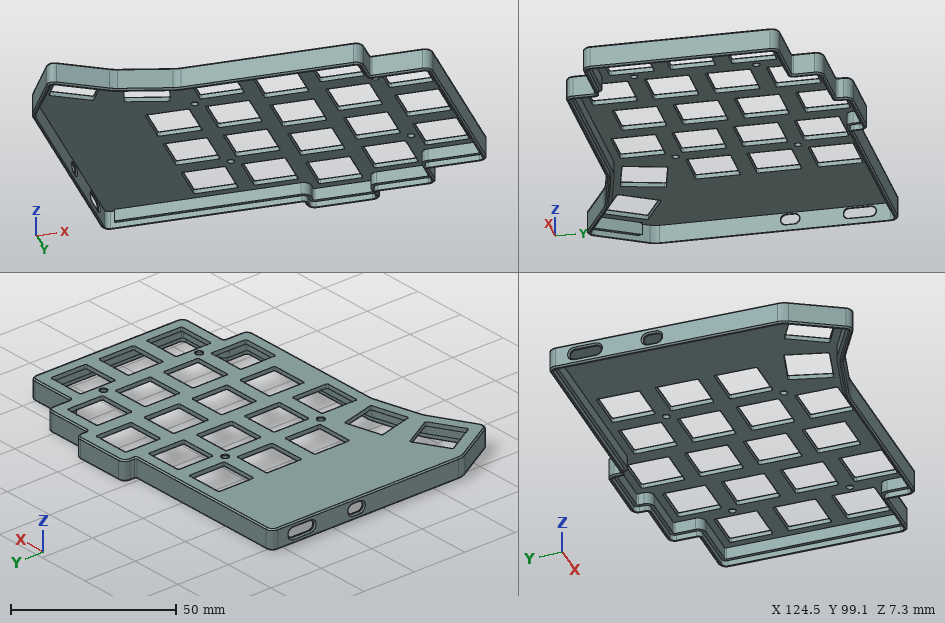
import cadquery as cq
import math

length = 124.5
height = 7.3
plate_thickness = 1.5
wall = 2.0
thin_wall = 1.0
rim_depth = 1.9
edge_chamfer = 0.5

key_span = 76.1
pitch = key_span / 4
key_opening = 14.0
key_corner_radius = 0.5
key_margin = 11.5

corner_radius = 2.5
inner_corner_radius = 0.5
bend_radius = 9.3
side_bend_radius = 6.5

column_x = [length - key_margin - pitch * steps for steps in (4, 3, 2, 1, 0)]
column_first_y = [
    key_margin + pitch,
    key_margin,
    key_margin + pitch / 4,
    key_margin,
    key_margin + pitch / 2,
]
column_key_count = [3, 4, 4, 4, 3]

inner_thumb = (35.0, 8.6)
inner_thumb_angle = 15.0
outer_thumb = (15.2, 0.5)
outer_thumb_angle = 30.0

screw_hole_diameter = 2.2
screw_hole_chamfer = 0.2
screw_hole_x = [column_x[0] + pitch / 2, column_x[3] + pitch / 2]
screw_hole_y = [column_first_y[1] + pitch / 2, column_first_y[1] + 5 * pitch / 2]

port_height = 3.5
port_chamfer = 0.5
port_z = height / 2
usb_port_y = 67.9
usb_port_width = 10.2
jack_port_y = 46.2
jack_port_width = 6.0


def beside_key(centre, angle, along, across):
    """Point at an offset from a turned key, measured in the directions of its sides."""
    turn = math.radians(angle)
    return (
        centre[0] + along * math.cos(turn) - across * math.sin(turn),
        centre[1] + along * math.sin(turn) + across * math.cos(turn),
    )


def crossing(point_a, angle_a, point_b, angle_b):
    """Crossing of two lines, each given by a point and a direction angle."""
    ax, ay = math.cos(math.radians(angle_a)), math.sin(math.radians(angle_a))
    bx, by = math.cos(math.radians(angle_b)), math.sin(math.radians(angle_b))
    gap_x, gap_y = point_b[0] - point_a[0], point_b[1] - point_a[1]
    reach = (gap_x * by - gap_y * bx) / (ax * by - ay * bx)
    return (point_a[0] + reach * ax, point_a[1] + reach * ay)


column_top_y = [
    first_y + (count - 1) * pitch + key_margin
    for first_y, count in zip(column_first_y, column_key_count)
]
top_y = column_top_y[3]
tab_top_y = column_top_y[2]
tab_left_x = column_x[2] - key_margin
tab_right_x = column_x[2] + key_margin
main_right_x = column_x[3] + key_margin
wing_top_y = column_top_y[4]
wing_bottom_y = column_first_y[4] - key_margin

below_inner_thumb = beside_key(inner_thumb, inner_thumb_angle, 0, -key_margin)
thumb_tip = beside_key(outer_thumb, outer_thumb_angle, -key_margin, -key_margin)
lower_bend = crossing((0, 0), 0, below_inner_thumb, inner_thumb_angle)
thumb_bend = crossing(below_inner_thumb, inner_thumb_angle, thumb_tip, outer_thumb_angle)
side_bend = crossing((0, 0), 90, thumb_tip, outer_thumb_angle + 90)

outline_corners = [
    (thumb_tip, corner_radius),
    (thumb_bend, bend_radius),
    (lower_bend, bend_radius),
    ((main_right_x, 0), corner_radius),
    ((main_right_x, wing_bottom_y), inner_corner_radius),
    ((length, wing_bottom_y), corner_radius),
    ((length, wing_top_y), corner_radius),
    ((main_right_x, wing_top_y), inner_corner_radius),
    ((main_right_x, top_y), corner_radius),
    ((tab_right_x, top_y), inner_corner_radius),
    ((tab_right_x, tab_top_y), corner_radius),
    ((tab_left_x, tab_top_y), corner_radius),
    ((tab_left_x, top_y), inner_corner_radius),
    ((0, top_y), corner_radius),
    (side_bend, side_bend_radius),
]


def make_body():
    body = cq.Workplane("XY").polyline([point for point, _ in outline_corners]).close().extrude(height)
    for (x, y), radius in outline_corners:
        nearest = cq.selectors.NearestToPointSelector((x, y, height / 2))
        body = body.edges("|Z").edges(nearest).fillet(radius)
    return body


def chamfer_rims(body):
    return body.faces("<Z or >Z").chamfer(edge_chamfer)


def inset_prism(body, inset, depth):
    """Prism rising from the underside, following the outline at a given inset."""
    outer_wire = body.faces("<Z").wires().val()
    inner_wire = outer_wire.offset2D(-inset, "arc")[0]
    return cq.Workplane("XY").add(inner_wire).toPending().extrude(depth)


def make_cavity(body):
    """Hollow under the plate, stepped wider at the rim and along the left side."""
    cavity_depth = height - plate_thickness
    left_strip = cq.Workplane("XY").box(2 * wall, top_y, height, centered=False)
    left_relief = inset_prism(body, thin_wall, cavity_depth).intersect(left_strip)
    rim = inset_prism(body, thin_wall, rim_depth)
    return inset_prism(body, wall, cavity_depth).union(rim).union(left_relief)


def key_cutter(centre, angle):
    return (
        cq.Workplane("XY")
        .rect(key_opening, key_opening)
        .extrude(height)
        .edges("|Z")
        .fillet(key_corner_radius)
        .rotate((0, 0, 0), (0, 0, 1), angle)
        .translate((centre[0], centre[1], 0))
    )


def cut_keys(body):
    for x, first_y, count in zip(column_x, column_first_y, column_key_count):
        for row in range(count):
            body = body.cut(key_cutter((x, first_y + row * pitch), 0))
    body = body.cut(key_cutter(inner_thumb, inner_thumb_angle))
    return body.cut(key_cutter(outer_thumb, outer_thumb_angle))


def cut_screw_holes(body):
    """Through holes with a small chamfer at the top face."""
    radius = screw_hole_diameter / 2
    mouth_radius = radius + screw_hole_chamfer
    mouth_z = height - screw_hole_chamfer
    for x in screw_hole_x:
        for y in screw_hole_y:
            hole = cq.Workplane("XY").center(x, y).circle(radius).extrude(height)
            mouth = cq.Solid.makeCone(radius, mouth_radius, screw_hole_chamfer, pnt=cq.Vector(x, y, mouth_z))
            body = body.cut(hole).cut(cq.Workplane(mouth))
    return body


def cut_port(body, y, width):
    """Round-ended opening through the left wall with a chamfered mouth."""
    port = (
        cq.Workplane("YZ", origin=(0, y, port_z))
        .slot2D(width, port_height)
        .extrude(2 * wall)
    )
    mouth = (
        cq.Workplane("YZ", origin=(0, y, port_z))
        .slot2D(width + 2 * port_chamfer, port_height + 2 * port_chamfer)
        .extrude(port_chamfer, taper=45)
    )
    return body.cut(port).cut(mouth)


outer_body = make_body()
result = chamfer_rims(outer_body).cut(make_cavity(outer_body))
result = cut_keys(result)
result = cut_screw_holes(result)
result = cut_port(result, usb_port_y, usb_port_width)
result = cut_port(result, jack_port_y, jack_port_width)